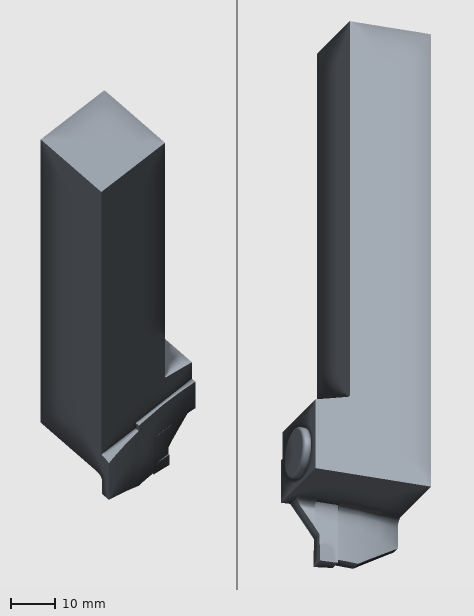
import cadquery as cq
import math


shank_side = 20.0
shank_depth = 19.85
total_height = 126.35
shank_bottom = 14.6
head_depth = 28.2
head_slope_low = 31.6
head_slope_high = 33.6
neck_radius = 0.6

screw_diameter = 11.86
screw_x = 8.6
screw_z = 21.65
screw_back = 30.1
screw_rounding = 0.7

blade_mid_y = 19.0
blade_inner_mid_x = 17.45
blade_inner_front_x = 20.2
blade_outer_mid_x = 20.7
blade_outer_front_x = 22.52

blade_bottom = 1.1
blade_front_low = 7.5
blade_flat_start_y = 10.65
blade_back_top_y = 26.0
blade_root_radius = 1.8

ledge_depth = 10.7
ledge_crease_x = 20.8
ledge_inner_z = 22.75
ledge_outer_z = 22.0
pad_front_z = 24.8
pad_back_z = 25.1

insert_front_y = 15.65
insert_back_y = 21.35
rake_y = 20.2
rake_top_z = 6.65
insert_heel_z = 0.35
tip_min_x = 17.1
tip_max_x = 21.05
tip_height = 4.1
tip_upper_front_y = 17.2
tip_lower_front_y = 16.25
tip_lower_front_z = 1.2


def arc_radius(mid_x, front_x):
    """Radius of the arc at mid_x at the blade middle and at front_x at Y = 0."""
    rise = front_x - mid_x
    return (blade_mid_y**2 + rise**2) / (2 * rise)


inner_radius = arc_radius(blade_inner_mid_x, blade_inner_front_x)
outer_radius = arc_radius(blade_outer_mid_x, blade_outer_front_x)


def arc_x(mid_x, radius, y):
    """X of a blade arc at the given Y."""
    return mid_x + radius - math.sqrt(radius**2 - (y - blade_mid_y) ** 2)


insert_min_x = arc_x(blade_inner_mid_x, inner_radius, insert_front_y)
insert_max_x = arc_x(blade_outer_mid_x, outer_radius, insert_front_y)


def prism_along_x(points, start, end):
    """Prism with an outline of (Y, Z) points between two X positions."""
    return cq.Workplane("YZ").workplane(offset=start).polyline(points).close().extrude(end - start)


def prism_along_y(points, start, end):
    """Prism with an outline of (X, Z) points between two Y positions."""
    return cq.Workplane("XZ", origin=(0, start, 0)).polyline(points).close().extrude(start - end)


def make_shank():
    outline = [
        (0, shank_bottom),
        (head_depth, shank_bottom),
        (head_depth, head_slope_low),
        (shank_depth, head_slope_high),
        (shank_depth, total_height),
        (0, total_height),
    ]
    neck = cq.selectors.NearestToPointSelector((shank_side / 2, shank_depth, head_slope_high))
    return prism_along_x(outline, 0, shank_side).edges(neck).fillet(neck_radius)


def make_screw_head():
    return (
        cq.Workplane("XZ", origin=(screw_x, head_depth, screw_z))
        .circle(screw_diameter / 2)
        .extrude(head_depth - screw_back)
        .faces(">Y")
        .edges()
        .fillet(screw_rounding)
    )


def make_outer_cutter():
    """Cylinder that hollows the +X side of the blade and pad."""
    center_x = blade_outer_mid_x + outer_radius
    return cq.Workplane("XY").center(center_x, blade_mid_y).circle(outer_radius).extrude(total_height)


def make_pad():
    ledge_outline = [
        (shank_side, shank_bottom),
        (blade_outer_front_x, shank_bottom),
        (blade_outer_front_x, ledge_outer_z),
        (ledge_crease_x, ledge_inner_z),
        (shank_side, ledge_inner_z),
    ]
    ledge = prism_along_y(ledge_outline, 0, ledge_depth)
    back_outline = [
        (ledge_depth, shank_bottom),
        (head_depth, shank_bottom),
        (head_depth, pad_back_z),
        (ledge_depth, pad_front_z),
    ]
    back = prism_along_x(back_outline, shank_side, blade_outer_front_x)
    return ledge.union(back).cut(make_outer_cutter())


def make_inner_round():
    """Cylinder bounding the -X side of the blade, flared by a root fillet under the head."""
    axis_x = blade_inner_mid_x + inner_radius
    flare_start_z = shank_bottom - blade_root_radius
    arc_offset = blade_root_radius * math.sqrt(0.5)
    arc_middle = (blade_inner_mid_x - blade_root_radius + arc_offset, flare_start_z + arc_offset)
    return (
        cq.Workplane("XZ", origin=(0, blade_mid_y, 0))
        .moveTo(axis_x, 0)
        .lineTo(blade_inner_mid_x, 0)
        .lineTo(blade_inner_mid_x, flare_start_z)
        .threePointArc(arc_middle, (blade_inner_mid_x - blade_root_radius, shank_bottom))
        .lineTo(axis_x, shank_bottom)
        .close()
        .revolve(360, (axis_x, 0, 0), (axis_x, 1, 0))
    )


def make_blade():
    outline = [
        (0, shank_bottom),
        (0, blade_front_low),
        (blade_flat_start_y, blade_bottom),
        (rake_y, blade_bottom),
        (rake_y, rake_top_z),
        (blade_back_top_y, shank_bottom),
    ]
    side_shape = prism_along_x(outline, 0, blade_outer_front_x)
    return side_shape.intersect(make_inner_round()).cut(make_outer_cutter())


def make_insert_slot():
    outline = [
        (insert_front_y, 0),
        (insert_back_y, 0),
        (insert_back_y, shank_bottom),
        (insert_front_y, shank_bottom),
    ]
    return prism_along_x(outline, 0, blade_outer_front_x)


def make_holder():
    blade = make_blade().cut(make_insert_slot())
    return make_shank().union(make_pad()).union(blade).union(make_screw_head())


def make_insert():
    back_slope = (shank_bottom - rake_top_z) / (blade_back_top_y - rake_y)
    back_corner_z = rake_top_z + (insert_back_y - rake_y) * back_slope
    body_outline = [
        (insert_front_y, insert_heel_z),
        (rake_y, 0),
        (rake_y, rake_top_z),
        (insert_back_y, back_corner_z),
        (insert_back_y, shank_bottom),
        (insert_front_y, shank_bottom),
    ]
    body = prism_along_x(body_outline, insert_min_x, insert_max_x)

    tip_outline = [
        (tip_lower_front_y, 0),
        (rake_y, 0),
        (rake_y, tip_height),
        (tip_upper_front_y, tip_height),
        (tip_lower_front_y, tip_lower_front_z),
    ]
    tip_plan = [
        (insert_min_x, tip_lower_front_y),
        (tip_min_x, rake_y),
        (tip_max_x, rake_y),
        (insert_max_x, tip_lower_front_y),
    ]
    heel_outline = [
        (insert_front_y, insert_heel_z),
        (rake_y, 0),
        (rake_y, tip_height),
        (insert_front_y, tip_height),
    ]
    tip = (
        cq.Workplane("XY")
        .polyline(tip_plan)
        .close()
        .extrude(tip_height)
        .intersect(prism_along_x(tip_outline, tip_min_x, tip_max_x))
        .intersect(prism_along_x(heel_outline, tip_min_x, tip_max_x))
    )
    return body.union(tip)


holder = make_holder()
insert = make_insert()

result = cq.Compound.makeCompound([*holder.solids().vals(), *insert.solids().vals()])